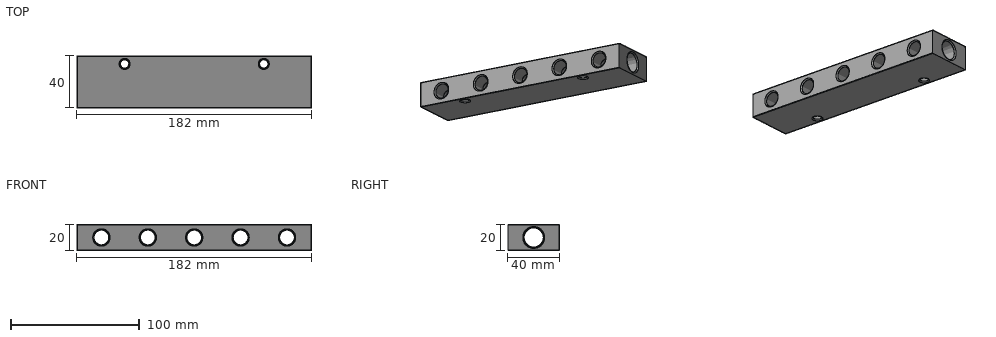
import cadquery as cq

length = 182.0
width = 40.0
height = 20.0
edge_chamfer = 0.33

bore_diameter = 15.0
bore_mouth_diameter = 17.0

port_count = 5
port_pitch = 36.0
port_diameter = 11.5
port_mouth_diameter = 13.5

mount_spacing = 3 * port_pitch
mount_inset = 6.0
mount_diameter = 6.5
mount_mouth_diameter = 8.5


def countersunk_hole(plane, depth, diameter, mouth_diameter):
    """Through hole centred on the plane, with a 45 degree countersink at each end."""
    sink = (mouth_diameter - diameter) / 2
    radius = diameter / 2
    mouth_radius = mouth_diameter / 2
    half = depth / 2
    profile = [
        (0, -half),
        (mouth_radius, -half),
        (radius, -half + sink),
        (radius, half - sink),
        (mouth_radius, half),
        (0, half),
    ]
    return cq.Workplane(plane).polyline(profile).close().revolve(360, (0, 0), (0, 1))


def cutter_plane(origin, axis, across):
    """Plane whose local Y runs along the hole axis and local X runs across it."""
    normal = cq.Vector(*across).cross(cq.Vector(*axis))
    return cq.Plane(origin=origin, xDir=across, normal=normal)


result = cq.Workplane("XY").box(length, width, height).edges("|X").chamfer(edge_chamfer)

bore_plane = cutter_plane((0, 0, 0), (1, 0, 0), (0, 1, 0))
result = result.cut(countersunk_hole(bore_plane, length, bore_diameter, bore_mouth_diameter))

for index in range(port_count):
    x = (index - (port_count - 1) / 2) * port_pitch
    port_plane = cutter_plane((x, 0, 0), (0, 1, 0), (1, 0, 0))
    result = result.cut(countersunk_hole(port_plane, width, port_diameter, port_mouth_diameter))

for x in (-mount_spacing / 2, mount_spacing / 2):
    mount_plane = cutter_plane((x, width / 2 - mount_inset, 0), (0, 0, 1), (1, 0, 0))
    result = result.cut(countersunk_hole(mount_plane, height, mount_diameter, mount_mouth_diameter))